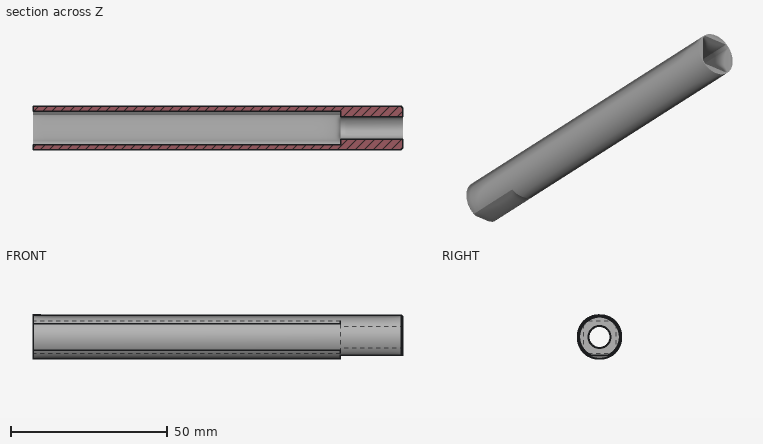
import cadquery as cq

length = 118.5
outer_diameter = 14.1
bore_diameter = 7.0
end_chamfer = 0.6

socket_width = 10.4
corner_wall = 0.4
socket_corner_diameter = outer_diameter - 2 * corner_wall

flat_length = 20.0
flat_depth = 1.2
flat_start = length - flat_length
socket_depth = flat_start


def make_body():
    """Round bar starting at X = 0, chamfered around its +X end."""
    bar = cq.Workplane("YZ").circle(outer_diameter / 2).extrude(length)
    return bar.faces(">X").edges().chamfer(end_chamfer)


def make_bore():
    """Round bore running the full length."""
    return cq.Workplane("YZ").circle(bore_diameter / 2).extrude(length)


def make_socket():
    """Square socket with its corners rounded to a common circle."""
    square = cq.Workplane("YZ").rect(socket_width, socket_width).extrude(socket_depth)
    corner_limit = cq.Workplane("YZ").circle(socket_corner_diameter / 2).extrude(socket_depth)
    return square.intersect(corner_limit)


def make_flat_cutter():
    """Block that removes the underside of the bar beyond the flat's start."""
    return (
        cq.Workplane("XY")
        .box(flat_length, outer_diameter, flat_depth, centered=(False, True, False))
        .translate((flat_start, 0, -outer_diameter / 2))
    )


result = make_body().cut(make_bore()).cut(make_socket()).cut(make_flat_cutter())